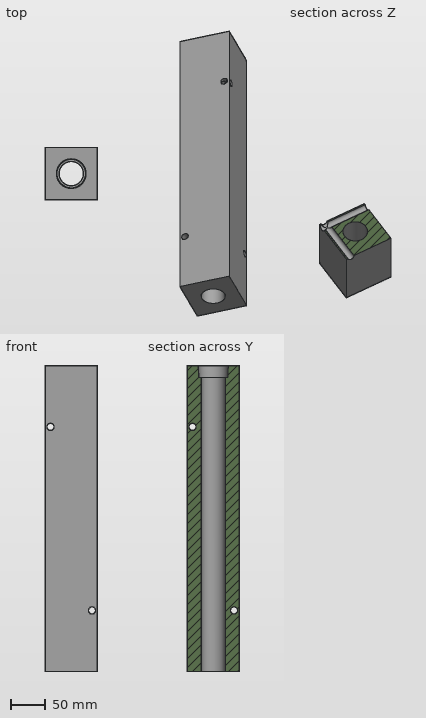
import cadquery as cq

side = 76.2
height = 444.5

bore_diameter = 34.925
mouth_diameter = 43.3
socket_floor_diameter = 41.4
socket_depth = 17.0

cross_hole_diameter = 10.0
cross_hole_edge_distance = 7.94
cross_hole_end_distance = 88.9

cross_hole_offset = side / 2 - cross_hole_edge_distance
cross_hole_height = height / 2 - cross_hole_end_distance


def square_bar():
    return cq.Workplane("XY").box(side, side, height)


def axial_bore():
    """Through bore with a tapered socket at the top, revolved about Z."""
    bore_radius = bore_diameter / 2
    outline = [
        (0, -height / 2),
        (bore_radius, -height / 2),
        (bore_radius, height / 2 - socket_depth),
        (socket_floor_diameter / 2, height / 2 - socket_depth),
        (mouth_diameter / 2, height / 2),
        (0, height / 2),
    ]
    return cq.Workplane("XZ").polyline(outline).close().revolve(360, (0, 0, 0), (0, 1, 0))


def crossing_holes(x, y, z):
    """Two perpendicular through holes whose axes meet at (x, y, z)."""
    radius = cross_hole_diameter / 2
    along_x = cq.Solid.makeCylinder(radius, side, cq.Vector(-side / 2, y, z), cq.Vector(1, 0, 0))
    along_y = cq.Solid.makeCylinder(radius, side, cq.Vector(x, -side / 2, z), cq.Vector(0, 1, 0))
    return cq.Workplane(along_x).union(cq.Workplane(along_y))


result = square_bar().cut(axial_bore())
result = result.cut(crossing_holes(cross_hole_offset, -cross_hole_offset, -cross_hole_height))
result = result.cut(crossing_holes(-cross_hole_offset, cross_hole_offset, cross_hole_height))